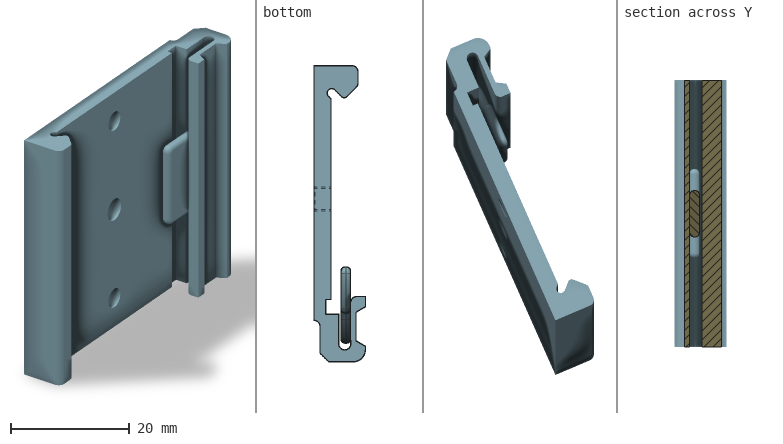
import cadquery as cq
import math

LENGTH = 50.0
HEIGHT = 45.0
DEPTH = 8.7
Y_TOP = LENGTH / 2
Y_BOTTOM = -LENGTH / 2

PLATE_BACK_X = 2.9

HOOK_FRONT_X = 1.0
HOOK_CHAMFER = 1.5
HOOK_ROUND = 2.1
STEP_FILLET = HOOK_FRONT_X
STEP_Y = 18.0

SLOT_X_MIN = 4.2
SLOT_WIDTH = 2.0
SLOT_RADIUS = SLOT_WIDTH / 2
SLOT_X_MAX = SLOT_X_MIN + SLOT_WIDTH
SLOT_TOP_Y = 22.95
NOTCH_X = 2.0
NOTCH_TOP_Y = 16.95
NOTCH_BOTTOM_Y = 14.5

LIP_BACK_X = 7.1
LIP_BOTTOM_Y = 13.95
LIP_TOE_Y = 15.7
LIP_ROUND = 1.0
HEAD_CORNER_Y = 22.35
LIP_FLARE_ANGLE = 30.0
LIP_FLARE = (DEPTH - LIP_BACK_X) * math.tan(math.radians(LIP_FLARE_ANGLE))

FOOT_X = 7.45
FOOT_ROUND = 1.1
FOOT_TIP_X = 5.1
FOOT_TIP_Y = -19.3
FOOT_TIP_ROUND = 0.6
FOOT_SHOULDER_Y = FOOT_TIP_Y - (FOOT_X - FOOT_TIP_X)
FOOT_SHOULDER_ROUND = 1.0
GROOVE_RADIUS = 0.75
GROOVE_X = 3.0
GROOVE_Y = FOOT_TIP_Y - (FOOT_TIP_X - GROOVE_X) + GROOVE_RADIUS * math.sqrt(2)

HOLE_Y = -2.5
SIDE_HOLE_DIAMETER = 3.5
SIDE_HOLE_OFFSET = 17.0
CENTER_HOLE_DIAMETER = 4.0
CENTER_HOLE_CHAMFER = 0.15

LATCH_THICKNESS = 1.65
LATCH_EDGE_ROUND = 0.75
LATCH_TOP_Y = 21.85
LATCH_SHOULDER_Y = 16.8
LATCH_BOTTOM_Y = 8.95
LATCH_TONGUE_RADIUS = 4.0
LATCH_HEAD_WIDTH = 15.0
LATCH_SHOULDER_ROUND = 0.8
LATCH_FOOT_ROUND = 1.1


def make_profile():
    """Closed XY outline of the housing, still with sharp outer corners on the foot and lip."""
    arc_middle = math.sqrt(0.5)
    diagonal = GROOVE_RADIUS * arc_middle
    groove_mouth_y = GROOVE_Y + diagonal + PLATE_BACK_X - (GROOVE_X - diagonal)
    flank_x = GROOVE_X + diagonal
    flank_y = FOOT_TIP_Y - (FOOT_TIP_X - flank_x)
    slot_center_y = SLOT_TOP_Y - SLOT_RADIUS
    return (
        cq.Workplane("XY", origin=(0, 0, -HEIGHT / 2))
        .moveTo(0, Y_BOTTOM)
        .lineTo(0, STEP_Y)
        .threePointArc(
            (STEP_FILLET * arc_middle, STEP_Y + STEP_FILLET * (1 - arc_middle)),
            (HOOK_FRONT_X, STEP_Y + STEP_FILLET),
        )
        .lineTo(HOOK_FRONT_X, Y_TOP - HOOK_CHAMFER)
        .lineTo(HOOK_FRONT_X + HOOK_CHAMFER, Y_TOP)
        .lineTo(DEPTH, Y_TOP)
        .lineTo(DEPTH, HEAD_CORNER_Y)
        .lineTo(LIP_BACK_X, HEAD_CORNER_Y - LIP_FLARE)
        .lineTo(LIP_BACK_X, LIP_TOE_Y + LIP_FLARE)
        .lineTo(DEPTH, LIP_TOE_Y)
        .lineTo(DEPTH, LIP_BOTTOM_Y)
        .lineTo(SLOT_X_MAX, LIP_BOTTOM_Y)
        .lineTo(SLOT_X_MAX, slot_center_y)
        .threePointArc((SLOT_X_MIN + SLOT_RADIUS, SLOT_TOP_Y), (SLOT_X_MIN, slot_center_y))
        .lineTo(SLOT_X_MIN, NOTCH_TOP_Y)
        .lineTo(NOTCH_X, NOTCH_TOP_Y)
        .lineTo(NOTCH_X, NOTCH_BOTTOM_Y)
        .lineTo(PLATE_BACK_X, NOTCH_BOTTOM_Y)
        .lineTo(PLATE_BACK_X, groove_mouth_y)
        .lineTo(GROOVE_X - diagonal, GROOVE_Y + diagonal)
        .threePointArc((GROOVE_X - diagonal, GROOVE_Y - diagonal), (flank_x, flank_y))
        .lineTo(FOOT_TIP_X, FOOT_TIP_Y)
        .lineTo(FOOT_X, FOOT_SHOULDER_Y)
        .lineTo(FOOT_X, Y_BOTTOM)
        .close()
    )


def round_corner(body, x, y, radius):
    """Round the vertical edge of the body that passes through (x, y)."""
    edge = cq.selectors.NearestToPointSelector((x, y, 0))
    return body.edges("|Z").edges(edge).fillet(radius)


def make_housing():
    body = make_profile().extrude(HEIGHT)
    rounds = [
        (DEPTH, Y_TOP, HOOK_ROUND),
        (SLOT_X_MAX, LIP_BOTTOM_Y, LIP_ROUND),
        (FOOT_TIP_X, FOOT_TIP_Y, FOOT_TIP_ROUND),
        (FOOT_X, FOOT_SHOULDER_Y, FOOT_SHOULDER_ROUND),
        (FOOT_X, Y_BOTTOM, FOOT_ROUND),
    ]
    for x, y, radius in rounds:
        body = round_corner(body, x, y, radius)
    return cut_holes(body)


def cut_holes(body):
    """Drill the screw holes through the plate; the middle one is chamfered at the front."""
    holes = cq.Workplane("YZ").pushPoints([(HOLE_Y, -SIDE_HOLE_OFFSET), (HOLE_Y, SIDE_HOLE_OFFSET)])
    body = body.cut(holes.circle(SIDE_HOLE_DIAMETER / 2).extrude(PLATE_BACK_X))
    radius = CENTER_HOLE_DIAMETER / 2
    center_hole = cq.Workplane("YZ").center(HOLE_Y, 0).circle(radius).extrude(PLATE_BACK_X)
    cone = cq.Solid.makeCone(
        radius + CENTER_HOLE_CHAMFER,
        radius,
        CENTER_HOLE_CHAMFER,
        pnt=cq.Vector(0, HOLE_Y, 0),
        dir=cq.Vector(1, 0, 0),
    )
    return body.cut(center_hole).cut(cq.Workplane(cone))


def make_latch():
    """T-shaped plate: a round-ended tongue in the slot and a wider head outside it."""
    tongue_center_y = LATCH_TOP_Y - LATCH_TONGUE_RADIUS
    half_head = LATCH_HEAD_WIDTH / 2
    latch = (
        cq.Workplane("YZ", origin=(SLOT_X_MAX - LATCH_THICKNESS, 0, 0))
        .moveTo(LATCH_BOTTOM_Y, -half_head)
        .lineTo(LATCH_SHOULDER_Y, -half_head)
        .lineTo(LATCH_SHOULDER_Y, -LATCH_TONGUE_RADIUS)
        .lineTo(tongue_center_y, -LATCH_TONGUE_RADIUS)
        .threePointArc((LATCH_TOP_Y, 0), (tongue_center_y, LATCH_TONGUE_RADIUS))
        .lineTo(LATCH_SHOULDER_Y, LATCH_TONGUE_RADIUS)
        .lineTo(LATCH_SHOULDER_Y, half_head)
        .lineTo(LATCH_BOTTOM_Y, half_head)
        .close()
        .extrude(LATCH_THICKNESS)
    )
    for y, radius in [(LATCH_SHOULDER_Y, LATCH_SHOULDER_ROUND), (LATCH_BOTTOM_Y, LATCH_FOOT_ROUND)]:
        for z in (-half_head, half_head):
            corner = cq.selectors.NearestToPointSelector((SLOT_X_MAX, y, z))
            latch = latch.edges("|X").edges(corner).fillet(radius)
    return latch.faces("<X or >X").edges().fillet(LATCH_EDGE_ROUND)


housing = make_housing()
latch = make_latch()

result = cq.Compound.makeCompound([housing.val(), latch.val()])